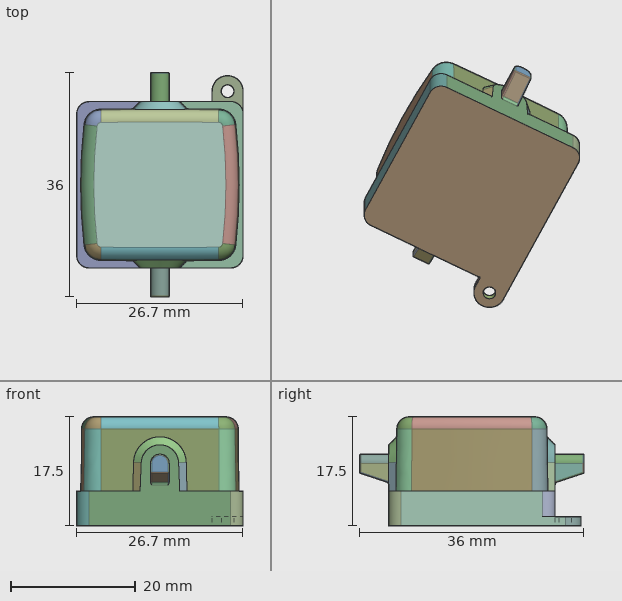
import cadquery as cq
import math

base_side = 26.7
base_height = 5.55
base_corner_radius = 2.0

overall_height = 17.5
hood_half_x = 12.72
hood_half_y = 12.2
side_wall_bow = 0.85
end_wall_bow = 0.1
hood_corner_radius = 2.8
hood_draft = 0.8
hood_top_radius = 2.0

arch_radius = 3.0
arch_side_slope = 2.3
arch_flare = 45.0
arch_depth = 2.0
arch_foot_height = 3.0

pin_radius = 1.5
pin_axis_height = 10.0
pin_tip_y = 18.0
pin_tip_bottom = 8.45
pin_root_bottom = 6.9
pin_edge_radius = 0.2
pin_root_radius = 0.5

eyelet_radius = 2.5
eyelet_thickness = 1.5
eyelet_hole_diameter = 2.0
eyelet_center_x = base_side / 2 - eyelet_radius
eyelet_center_y = 15.0

end_face_y = base_side / 2


def make_base():
    return (
        cq.Workplane("XY")
        .rect(base_side, base_side)
        .extrude(base_height)
        .edges("|Z")
        .fillet(base_corner_radius)
    )


def make_hood():
    corner_x = hood_half_x - side_wall_bow
    corner_y = hood_half_y - end_wall_bow
    outline = (
        cq.Sketch()
        .arc((corner_x, -corner_y), (hood_half_x, 0), (corner_x, corner_y))
        .arc((corner_x, corner_y), (0, hood_half_y), (-corner_x, corner_y))
        .arc((-corner_x, corner_y), (-hood_half_x, 0), (-corner_x, -corner_y))
        .arc((-corner_x, -corner_y), (0, -hood_half_y), (corner_x, -corner_y))
        .assemble()
        .vertices()
        .fillet(hood_corner_radius)
    )
    return (
        cq.Workplane("XY", origin=(0, 0, base_height))
        .placeSketch(outline)
        .extrude(overall_height - base_height, taper=hood_draft)
        .faces(">Z")
        .edges()
        .fillet(hood_top_radius)
    )


def make_front_arch():
    """Arched boss on the -Y end, widening from its face into the hood."""
    slope = math.radians(arch_side_slope)
    spring_x = arch_radius * math.cos(slope)
    spring_z = pin_axis_height + arch_radius * math.sin(slope)
    foot_x = spring_x + (spring_z - arch_foot_height) * math.tan(slope)
    return (
        cq.Workplane("XZ", origin=(0, -end_face_y, 0))
        .moveTo(-foot_x, arch_foot_height)
        .lineTo(-spring_x, spring_z)
        .threePointArc((0, pin_axis_height + arch_radius), (spring_x, spring_z))
        .lineTo(foot_x, arch_foot_height)
        .close()
        .extrude(-arch_depth, taper=-arch_flare)
    )


def make_front_pin():
    """Pin on the -Y end, its underside curving down into the boss face."""
    slope = math.atan2(pin_tip_bottom - pin_root_bottom, pin_tip_y - end_face_y)
    curve_y = end_face_y + pin_root_radius
    curve_z = pin_root_bottom + pin_root_radius * (math.tan(slope) - 1 / math.cos(slope))
    mid_angle = (math.pi + math.pi / 2 + slope) / 2

    def on_root_curve(angle):
        return (
            -(curve_y + pin_root_radius * math.cos(angle)),
            curve_z + pin_root_radius * math.sin(angle),
        )

    blank = (
        cq.Workplane("XZ", origin=(0, -end_face_y, 0))
        .moveTo(-pin_radius, curve_z)
        .lineTo(-pin_radius, pin_axis_height)
        .threePointArc((0, pin_axis_height + pin_radius), (pin_radius, pin_axis_height))
        .lineTo(pin_radius, curve_z)
        .close()
        .extrude(pin_tip_y - end_face_y)
    )
    underside_cut = (
        cq.Workplane("YZ")
        .moveTo(*on_root_curve(math.pi))
        .threePointArc(on_root_curve(mid_angle), on_root_curve(math.pi / 2 + slope))
        .lineTo(-pin_tip_y, pin_tip_bottom)
        .lineTo(-pin_tip_y, curve_z)
        .close()
        .extrude(pin_radius, both=True)
    )
    pin = blank.cut(underside_cut)
    tip_edges = pin.faces("<Y").edges()
    underside_edges = pin.edges(
        cq.selectors.BoxSelector(
            (-2 * pin_radius, -pin_tip_y, curve_z),
            (2 * pin_radius, -curve_y, pin_tip_bottom),
        )
    ).edges("not |X")
    return pin.newObject(tip_edges.vals() + underside_edges.vals()).fillet(pin_edge_radius)


def make_eyelet():
    """Round-ended tab reaching back to the middle of the base corner."""
    tab_back_y = end_face_y - base_corner_radius
    tab_length = eyelet_center_y - tab_back_y
    return (
        cq.Workplane("XY")
        .center(eyelet_center_x, eyelet_center_y)
        .circle(eyelet_radius)
        .extrude(eyelet_thickness)
        .union(
            cq.Workplane("XY")
            .center(eyelet_center_x, eyelet_center_y - tab_length / 2)
            .rect(2 * eyelet_radius, tab_length)
            .extrude(eyelet_thickness)
        )
        .cut(
            cq.Workplane("XY")
            .center(eyelet_center_x, eyelet_center_y)
            .circle(eyelet_hole_diameter / 2)
            .extrude(eyelet_thickness)
        )
    )


def make_cover():
    cover = make_base().union(make_hood())
    for feature in (make_front_arch(), make_front_pin()):
        cover = cover.union(feature).union(feature.mirror("XZ"))
    return cover.union(make_eyelet())


cover = make_cover()
result = cq.Compound.makeCompound([cover.val()])